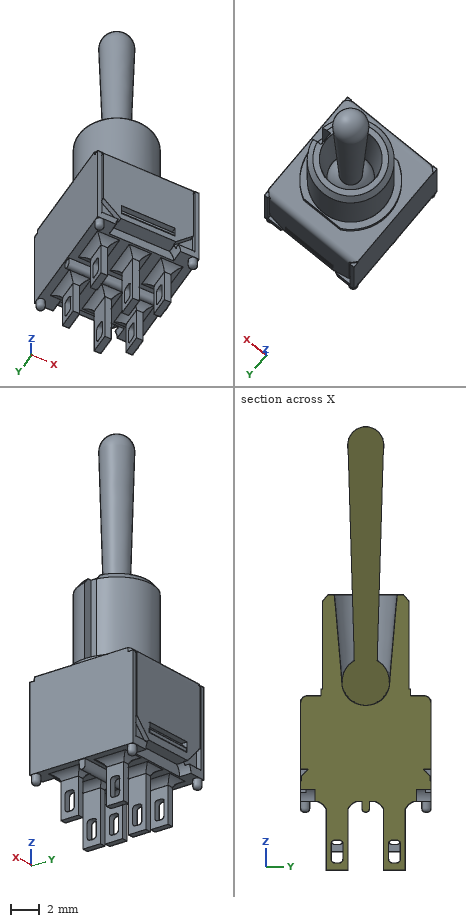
import cadquery as cq
import math


case_x = 8.13
case_y = 9.14
case_depth = 7.42
bend_radius = 0.5
corner_chamfer = 0.45
corner_notch_depth = 0.3
sheet = 0.38
flap_half_width = 3.6
flap_gap = 0.13
flap_bottom = -6.58
flap_chamfer = 1.4
ledge_z = -6.77

arch_top_half_width = 2.25
arch_bottom_half_width = 2.57
arch_bulge_half_width = 2.47
arch_bulge_z = -6.9
arch_depth = 1.0

window_half_width = 2.14
window_top = -5.17
window_bottom = -5.95
catch_ramp = 0.48
catch_setback = 0.05

washer_radius = 3.57
washer_flats = 6.3
washer_height = 0.47
bushing_radius = 3.05
bushing_top = 7.07
bushing_chamfer_radial = 0.4
bushing_chamfer_height = 0.45
bore_radius = 2.2
keyway_width = 1.05
keyway_floor_x = 2.28

lever_top = 18.84
tip_radius = 1.27
neck_radius = 0.96
ball_radius = 1.67
ball_z = 1.0

terminal_pitch_x = 2.54
terminal_pitch_y = 4.02
terminal_thickness = 0.53
terminal_width = 1.54
outer_terminal_bottom = -10.95
centre_terminal_bottom = -12.24
eye_width = 0.8
eye_height = 1.58
eye_margin = 0.53
eye_corner = 0.25
seal_spread = 0.62
seal_height = 0.53
seal_hollow = 0.06

foot_bottom = -8.18
post_diameter = 0.65
post_round = 0.26
rib_length = 7.96
rib_width = 0.53


def prism_xz(outline, depth):
    """Extrude an XZ outline from the -Y face of the case inwards by depth."""
    return outline.extrude(-depth).translate((0, -case_y / 2, 0))


def both_y_sides(shape):
    return shape.union(shape.mirror("XZ"))


def case_block():
    """Case with bent top edges; the top corners are cut off above the side plates."""
    plate_height = case_depth - corner_notch_depth
    plates = (
        cq.Workplane("XY")
        .box(case_x, case_y, plate_height, centered=(True, True, False))
        .translate((0, 0, -case_depth))
    )
    cap = (
        cq.Workplane("XY")
        .box(case_x, case_y, corner_notch_depth, centered=(True, True, False))
        .translate((0, 0, -corner_notch_depth))
        .edges("|Z")
        .chamfer(corner_chamfer)
    )
    bend_envelope = (
        cq.Workplane("XY")
        .box(case_x, case_y, case_depth, centered=(True, True, False))
        .translate((0, 0, -case_depth))
        .edges(">Z and |X")
        .fillet(bend_radius)
    )
    side_plate_x = case_x / 2 - flap_half_width - flap_gap
    side_plate = cq.Workplane("XY").box(side_plate_x, case_y, plate_height, centered=(True, True, False))
    block = plates.union(cap).intersect(bend_envelope)
    for side in (-1, 1):
        block = block.union(side_plate.translate((side * (case_x - side_plate_x) / 2, 0, -case_depth)))
    return block


def flap_relief():
    """Gap around the flap: the space between the side plates and above the ledge, less the flap."""
    opening_half_width = flap_half_width + flap_gap
    gap = prism_xz(
        cq.Workplane("XZ")
        .moveTo(0, (ledge_z - corner_notch_depth) / 2)
        .rect(2 * opening_half_width, -ledge_z - corner_notch_depth),
        sheet,
    )
    flap = prism_xz(
        cq.Workplane("XZ")
        .polyline([
            (-flap_half_width, 0),
            (flap_half_width, 0),
            (flap_half_width, flap_bottom + flap_chamfer),
            (flap_half_width - flap_chamfer, flap_bottom),
            (-flap_half_width + flap_chamfer, flap_bottom),
            (-flap_half_width, flap_bottom + flap_chamfer),
        ])
        .close(),
        sheet,
    )
    return gap.cut(flap)


def arch():
    return prism_xz(
        cq.Workplane("XZ")
        .moveTo(-arch_top_half_width, flap_bottom)
        .lineTo(arch_top_half_width, flap_bottom)
        .threePointArc((arch_bulge_half_width, arch_bulge_z), (arch_bottom_half_width, -case_depth))
        .lineTo(-arch_bottom_half_width, -case_depth)
        .threePointArc((-arch_bulge_half_width, arch_bulge_z), (-arch_top_half_width, flap_bottom))
        .close(),
        arch_depth,
    )


def catch_window():
    face_y = -case_y / 2
    catch_y = face_y + catch_setback
    return (
        cq.Workplane("YZ")
        .polyline([
            (face_y, window_top),
            (catch_y + catch_ramp, window_top),
            (catch_y, window_top - catch_ramp),
            (catch_y, window_bottom),
            (face_y, window_bottom),
        ])
        .close()
        .extrude(window_half_width, both=True)
    )


def bushing():
    washer = cq.Workplane("XY").circle(washer_radius).extrude(washer_height)
    washer = washer.intersect(cq.Workplane("XY").rect(2 * washer_radius, washer_flats).extrude(washer_height))
    barrel = (
        cq.Workplane("XZ")
        .polyline([
            (0, 0),
            (bushing_radius, 0),
            (bushing_radius, bushing_top - bushing_chamfer_height),
            (bushing_radius - bushing_chamfer_radial, bushing_top),
            (0, bushing_top),
        ])
        .close()
        .revolve(360, (0, 0, 0), (0, 1, 0))
    )
    keyway = (
        cq.Workplane("XY")
        .workplane(offset=washer_height)
        .center((keyway_floor_x + washer_radius) / 2, 0)
        .rect(washer_radius - keyway_floor_x, keyway_width)
        .extrude(bushing_top)
    )
    return washer.union(barrel.cut(keyway))


def lever_socket():
    """Funnel from the bushing mouth down to a hemispherical seat that fits the lever ball."""
    return (
        cq.Workplane("XZ")
        .moveTo(0, ball_z - ball_radius)
        .threePointArc(
            (ball_radius * math.sin(math.pi / 4), ball_z - ball_radius * math.cos(math.pi / 4)),
            (ball_radius, ball_z),
        )
        .lineTo(bore_radius, bushing_top)
        .lineTo(0, bushing_top)
        .close()
        .revolve(360, (0, 0, 0), (0, 1, 0))
    )


def seal_flare(plane, terminal_size):
    """Concave flare widening upwards from terminal_size, as a prism across one upright plane."""
    narrow = terminal_size / 2
    wide = narrow + seal_spread
    middle = (narrow + wide) / 2 - seal_hollow
    bottom_z = -case_depth - seal_height
    middle_z = -case_depth - seal_height / 2 + seal_hollow
    return (
        cq.Workplane(plane)
        .moveTo(-narrow, bottom_z)
        .lineTo(narrow, bottom_z)
        .threePointArc((middle, middle_z), (wide, -case_depth))
        .lineTo(-wide, -case_depth)
        .threePointArc((-middle, middle_z), (-narrow, bottom_z))
        .close()
        .extrude(terminal_width / 2 + seal_spread, both=True)
    )


def terminal(bottom):
    """Solder terminal with an eye and a flared bead of sealant where it leaves the case."""
    height = -case_depth - bottom
    blade = (
        cq.Workplane("XY")
        .rect(terminal_thickness, terminal_width)
        .extrude(height)
        .translate((0, 0, bottom))
    )
    eye = (
        cq.Workplane("XY")
        .box(2 * terminal_thickness, eye_width, eye_height, centered=(True, True, False))
        .edges("|X")
        .fillet(eye_corner)
        .translate((0, 0, bottom + eye_margin))
    )
    seal = seal_flare("XZ", terminal_thickness).intersect(seal_flare("YZ", terminal_width))
    return blade.union(seal).cut(eye)


def post():
    height = -case_depth - foot_bottom
    return (
        cq.Workplane("XY")
        .circle(post_diameter / 2)
        .extrude(height)
        .faces("<Z")
        .edges()
        .fillet(post_round)
        .translate((0, 0, foot_bottom))
    )


def rib():
    """Rib along X with a full-round lower edge."""
    round_radius = rib_width / 2
    return (
        cq.Workplane("YZ")
        .moveTo(-round_radius, -case_depth)
        .lineTo(-round_radius, foot_bottom + round_radius)
        .threePointArc((0, foot_bottom), (round_radius, foot_bottom + round_radius))
        .lineTo(round_radius, -case_depth)
        .close()
        .extrude(rib_length / 2, both=True)
    )


def make_housing():
    body = case_block()
    for cutter in (flap_relief(), arch(), catch_window()):
        body = body.cut(both_y_sides(cutter))
    body = body.union(bushing()).cut(lever_socket()).union(rib())
    for column in (-1, 0, 1):
        bottom = centre_terminal_bottom if column == 0 else outer_terminal_bottom
        for row in (-1, 1):
            body = body.union(
                terminal(bottom).translate((column * terminal_pitch_x, row * terminal_pitch_y / 2, 0))
            )
    post_x = (case_x - post_diameter) / 2
    post_y = (case_y - post_diameter) / 2
    for side in (-1, 1):
        for end in (-1, 1):
            body = body.union(post().translate((side * post_x, end * post_y, 0)))
    return body


def make_lever():
    """Tapered handle with a domed tip, standing on its pivot ball."""
    dome_z = lever_top - tip_radius
    taper = (tip_radius - neck_radius) / (dome_z - bushing_top)
    foot_radius = tip_radius - taper * (dome_z - ball_z)
    dome_mid = tip_radius * math.sin(math.pi / 4)
    handle = (
        cq.Workplane("XZ")
        .moveTo(0, ball_z)
        .lineTo(foot_radius, ball_z)
        .lineTo(tip_radius, dome_z)
        .threePointArc((dome_mid, dome_z + dome_mid), (0, lever_top))
        .close()
        .revolve(360, (0, 0, 0), (0, 1, 0))
    )
    ball = cq.Workplane("XY").sphere(ball_radius).translate((0, 0, ball_z))
    return handle.union(ball)


housing = make_housing()
lever = make_lever()
result = cq.Compound.makeCompound([housing.val(), lever.val()])